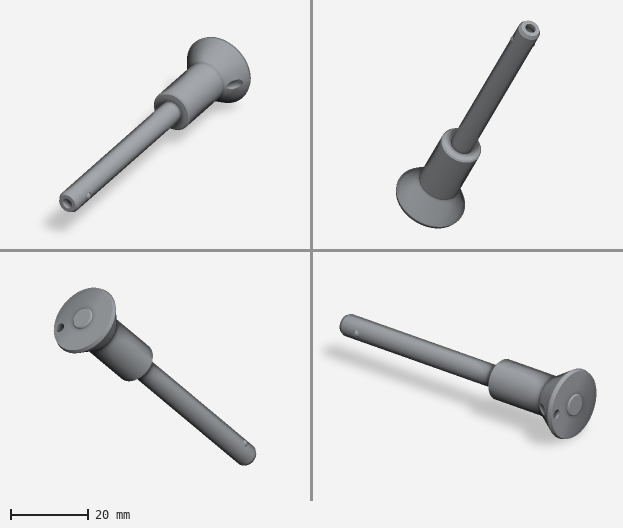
import cadquery as cq

total_length = 76.8
tip_y = -total_length / 2
button_y = total_length / 2

button_diameter = 6.0
button_height = 0.5
button_chamfer = 0.3

rim_diameter = 19.0
back_diameter = 18.35
bevel_length = 0.9
rim_width = 0.2
flare_length = 6.3
sleeve_diameter = 11.0
sleeve_length = 17.05
sleeve_chamfer = 0.4

shank_diameter = 6.0
tip_diameter = 4.9
tip_taper_length = 1.0
bore_diameter = 2.85
bore_depth = 2.0

ball_diameter = 2.0
ball_span = 6.75
ball_from_tip = 5.8

lanyard_hole_diameter = 2.5
lanyard_hole_offset = 7.2


def make_body():
    """Revolve the half profile of button, handle and shank about the Y axis."""
    back_y = button_y - button_height
    rim_y = back_y - bevel_length - rim_width
    flare_end_y = rim_y - flare_length
    sleeve_end_y = flare_end_y - sleeve_length
    profile = (
        cq.Workplane("XY")
        .moveTo(0, button_y)
        .lineTo(button_diameter / 2 - button_chamfer, button_y)
        .lineTo(button_diameter / 2, button_y - button_chamfer)
        .lineTo(button_diameter / 2, back_y)
        .lineTo(back_diameter / 2, back_y)
        .lineTo(rim_diameter / 2, rim_y + rim_width)
        .lineTo(rim_diameter / 2, rim_y)
        .lineTo(sleeve_diameter / 2, flare_end_y)
        .lineTo(sleeve_diameter / 2, sleeve_end_y + sleeve_chamfer)
        .lineTo(sleeve_diameter / 2 - sleeve_chamfer, sleeve_end_y)
        .lineTo(shank_diameter / 2, sleeve_end_y)
        .lineTo(shank_diameter / 2, tip_y + tip_taper_length)
        .lineTo(tip_diameter / 2, tip_y)
        .lineTo(0, tip_y)
        .close()
    )
    return profile.revolve(360, (0, 0, 0), (0, 1, 0))


def ball_center(side):
    """Center of the locking ball on the +X (side = 1) or -X (side = -1) flank."""
    return (side * (ball_span - ball_diameter) / 2, tip_y + ball_from_tip, 0)


def make_socket(side):
    """Round hole, as wide as the ball, from the ball's center outward (side = 1 for +X, -1 for -X)."""
    floor = cq.Workplane("YZ", origin=ball_center(side))
    return floor.circle(ball_diameter / 2).extrude(side * shank_diameter / 2)


def make_ball(side):
    """Outer half of a locking ball, standing on the floor of its socket."""
    whole_ball = cq.Workplane("XY", origin=ball_center(side)).sphere(ball_diameter / 2)
    return whole_ball.intersect(make_socket(side))


def make_rod(diameter, length, center_x):
    """Cylinder running from the tip plane toward +Y."""
    rod_plane = cq.Workplane("XZ", origin=(center_x, tip_y, 0))
    return rod_plane.circle(diameter / 2).extrude(-length)


result = make_body()
for side in (-1, 1):
    result = result.cut(make_socket(side)).union(make_ball(side))
result = result.cut(make_rod(bore_diameter, bore_depth, 0))
result = result.cut(make_rod(lanyard_hole_diameter, total_length, lanyard_hole_offset))